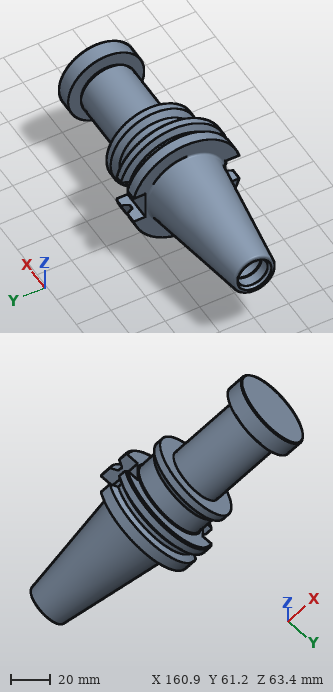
import cadquery as cq

TOTAL_LENGTH = 160.9
FLANGE_START = 69.2
FLANGE_END = 87.3
GROOVE_START = 75.6
GROOVE_END = 82.2
COLLAR_START = 101.8
COLLAR_END = 106.2
SHANK_END = 149.6
HEAD_START = 150.9

TAPER_SMALL_DIAMETER = 24.1
TAPER_LARGE_DIAMETER = 44.4
FLANGE_DIAMETER = 63.4
GROOVE_DIAMETER = 55.7
BOSS_DIAMETER = 44.2
COLLAR_DIAMETER = 50.7
SHANK_DIAMETER = 31.7
STEM_DIAMETER = 17.5
HEAD_DIAMETER = 44.0

GROOVE_WALL_RUN = 2.0
NOSE_FILLET = 1.1
TAPER_BASE_FILLET = 1.1
FLANGE_CHAMFER = 0.8
BOSS_BASE_CHAMFER = 0.5
SHANK_CHAMFER_LENGTH = 1.0
SHANK_CHAMFER_DEPTH = 0.5
HEAD_CHAMFER = 0.5

SLOT_WIDTH = 16.5
FRONT_SLOT_FLOOR = 22.5
BACK_SLOT_FLOOR = 23.8

PILOT_MOUTH_DIAMETER = 19.6
PILOT_DIAMETER = 17.5
PILOT_MOUTH_DEPTH = 2.0
PILOT_DEPTH = 8.0
THREAD_DIAMETER = 16.2
THREAD_DEPTH = 32.2
CORE_DIAMETER = 13.4
CORE_DEPTH = 40.2
STEM_DEPTH = 24.1


def revolve_about_x(points):
    """Revolve a closed (x, radius) outline about the tool axis."""
    return cq.Workplane("XY").polyline(points).close().revolve(360, (0, 0, 0), (1, 0, 0))


def rod(start, end, diameter):
    """Solid cylinder along the tool axis between two X places."""
    return cq.Workplane("YZ", origin=(start, 0, 0)).circle(diameter / 2).extrude(end - start)


def make_taper_and_flange():
    """Taper and grooved flange, with the nose edge and the taper base rounded."""
    taper_small = TAPER_SMALL_DIAMETER / 2
    taper_large = TAPER_LARGE_DIAMETER / 2
    outer = FLANGE_DIAMETER / 2
    groove = GROOVE_DIAMETER / 2
    body = revolve_about_x([
        (0, 0),
        (0, taper_small),
        (FLANGE_START, taper_large),
        (FLANGE_START, outer),
        (GROOVE_START, outer),
        (GROOVE_START + GROOVE_WALL_RUN, groove),
        (GROOVE_END - GROOVE_WALL_RUN, groove),
        (GROOVE_END, outer),
        (FLANGE_END - FLANGE_CHAMFER, outer),
        (FLANGE_END, outer - FLANGE_CHAMFER),
        (FLANGE_END, 0),
    ])
    body = body.faces("<X").edges().fillet(NOSE_FILLET)
    around_base = cq.selectors.BoxSelector(
        (FLANGE_START - TAPER_BASE_FILLET, -taper_large, -taper_large),
        (FLANGE_START + TAPER_BASE_FILLET, taper_large, taper_large),
    )
    base_circle = body.edges("%CIRCLE").edges(around_base).edges(cq.selectors.RadiusNthSelector(0))
    return base_circle.fillet(TAPER_BASE_FILLET)


def make_slot_cutter(side, floor):
    """Block that cuts one drive slot through the flange; side is -1 or +1 along Y."""
    start = FLANGE_START - TAPER_BASE_FILLET
    end = FLANGE_END + BOSS_BASE_CHAMFER
    depth = FLANGE_DIAMETER / 2
    center = ((start + end) / 2, side * (floor + depth / 2), 0)
    return cq.Workplane("XY").box(end - start, depth, SLOT_WIDTH).translate(center)


def make_boss_and_shank():
    """Boss, collar and shank on the tool (+X) side of the flange."""
    boss = BOSS_DIAMETER / 2
    collar = COLLAR_DIAMETER / 2
    shank = SHANK_DIAMETER / 2
    collar_slope = collar - boss
    return revolve_about_x([
        (FLANGE_END, 0),
        (FLANGE_END, boss + BOSS_BASE_CHAMFER),
        (FLANGE_END + BOSS_BASE_CHAMFER, boss),
        (COLLAR_START - collar_slope, boss),
        (COLLAR_START, collar),
        (COLLAR_END, collar),
        (COLLAR_END, shank),
        (SHANK_END - SHANK_CHAMFER_LENGTH, shank),
        (SHANK_END, shank - SHANK_CHAMFER_DEPTH),
        (SHANK_END, 0),
    ])


def make_drawbar_bore():
    """Stepped blind bore in the taper nose with a chamfered mouth."""
    pilot = PILOT_DIAMETER / 2
    thread = THREAD_DIAMETER / 2
    core = CORE_DIAMETER / 2
    return revolve_about_x([
        (0, 0),
        (0, PILOT_MOUTH_DIAMETER / 2),
        (PILOT_MOUTH_DEPTH, pilot),
        (PILOT_DEPTH, pilot),
        (PILOT_DEPTH, thread),
        (THREAD_DEPTH, thread),
        (THREAD_DEPTH, core),
        (CORE_DEPTH, core),
        (CORE_DEPTH, 0),
    ])


def make_arbor():
    stem_hole = rod(SHANK_END - STEM_DEPTH, SHANK_END, STEM_DIAMETER)
    return (
        make_taper_and_flange()
        .union(make_boss_and_shank())
        .cut(make_slot_cutter(-1, FRONT_SLOT_FLOOR))
        .cut(make_slot_cutter(1, BACK_SLOT_FLOOR))
        .cut(make_drawbar_bore())
        .cut(stem_hole)
    )


def make_retaining_screw():
    head = rod(HEAD_START, TOTAL_LENGTH, HEAD_DIAMETER).faces(">X").edges().chamfer(HEAD_CHAMFER)
    stem = rod(SHANK_END - STEM_DEPTH, HEAD_START, STEM_DIAMETER)
    return head.union(stem)


arbor = make_arbor()
retaining_screw = make_retaining_screw()
result = cq.Compound.makeCompound([arbor.val(), retaining_screw.val()])